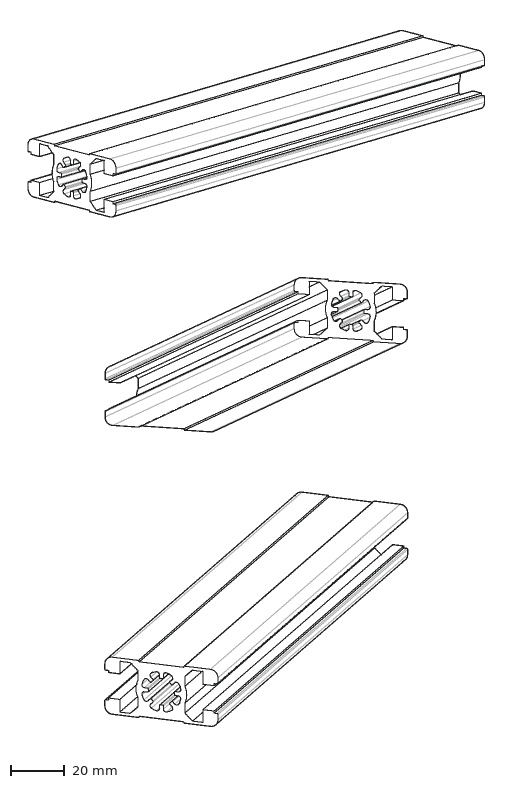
import cadquery as cq
import math

WIDTH = 45.0
LENGTH = 200.0
HEIGHT = 22.5
CORNER_RADIUS = 3.0

RECESS_WIDTH = 17.5
RECESS_DEPTH = 0.5
RECESS_SLOPE_RUN = 0.35

SLOT_OPENING = 10.0
LIP_THICKNESS = 6.0
LIP_STEP_WIDTH = 1.5
LIP_STEP_HEIGHT = 0.8
LIP_EDGE_RADIUS = 0.4
FLANGE_THICKNESS = 1.25
WEB_WIDTH = 18.7
SLOPE_RUN = 3.05
SLOPE_RISE = 2.8
BULGE_HEIGHT = 0.75
BULGE_WIDTH = 6.6

BORE_RADIUS = 7.95
TOOTH_TIP_RADIUS = 5.2
TOOTH_WIDTH = 1.6
ROOT_FILLET_RADIUS = 1.0
TIP_FILLET_RADIUS = 0.3
TOOTH_COUNT = 8


def front_plane():
    """Sketch plane through mid-length: local x is X and local y is Z."""
    return cq.Workplane("XZ")


def extrude_full_length(sketch):
    return sketch.extrude(LENGTH / 2, both=True)


def make_body():
    block = extrude_full_length(front_plane().rect(WIDTH, HEIGHT))
    return block.edges("|Y").fillet(CORNER_RADIUS)


def make_recess():
    """Recess with sloped sides in the top face."""
    floor_half = RECESS_WIDTH / 2
    mouth_half = floor_half + RECESS_SLOPE_RUN
    top = HEIGHT / 2
    floor = top - RECESS_DEPTH
    outline = [(-mouth_half, top), (-floor_half, floor), (floor_half, floor), (mouth_half, top)]
    return extrude_full_length(front_plane().polyline(outline).close())


def make_slot():
    """T-slot in the +X side, with stepped lips and a back wall that bulges outwards."""
    side = WIDTH / 2
    lip_back = side - LIP_THICKNESS
    web = WEB_WIDTH / 2
    step = side - LIP_STEP_WIDTH
    opening = SLOT_OPENING / 2
    mouth = opening + LIP_STEP_HEIGHT
    ceiling = HEIGHT / 2 - FLANGE_THICKNESS
    slope_end = ceiling - SLOPE_RISE
    bulge = BULGE_WIDTH / 2
    outline = (
        front_plane()
        .moveTo(side, mouth + LIP_EDGE_RADIUS)
        .radiusArc((side - LIP_EDGE_RADIUS, mouth), LIP_EDGE_RADIUS)
        .lineTo(step, mouth)
        .lineTo(step, opening)
        .lineTo(lip_back, opening)
        .lineTo(lip_back, ceiling)
        .lineTo(web + SLOPE_RUN, ceiling)
        .lineTo(web, slope_end)
        .lineTo(web, bulge)
        .threePointArc((web + BULGE_HEIGHT, 0), (web, -bulge))
        .lineTo(web, -slope_end)
        .lineTo(web + SLOPE_RUN, -ceiling)
        .lineTo(lip_back, -ceiling)
        .lineTo(lip_back, -opening)
        .lineTo(step, -opening)
        .lineTo(step, -mouth)
        .lineTo(side - LIP_EDGE_RADIUS, -mouth)
        .radiusArc((side, -mouth - LIP_EDGE_RADIUS), LIP_EDGE_RADIUS)
        .close()
    )
    return extrude_full_length(outline)


def distance_from_axis(edge):
    """Distance of a lengthwise edge from the profile's centre line."""
    centre = edge.Center()
    return math.hypot(centre.x, centre.z)


def make_bore():
    """Round bore with evenly spaced teeth pointing inwards, rounded at roots and tips."""
    bore = extrude_full_length(front_plane().circle(BORE_RADIUS))
    tooth_length = BORE_RADIUS - TOOTH_TIP_RADIUS
    tooth_centre = TOOTH_TIP_RADIUS + tooth_length / 2
    tooth = extrude_full_length(
        front_plane().center(tooth_centre, 0).rect(tooth_length, TOOTH_WIDTH)
    )
    for index in range(TOOTH_COUNT):
        angle = index * 360 / TOOTH_COUNT
        bore = bore.cut(tooth.rotate((0, 0, 0), (0, 1, 0), angle))
    middle_radius = (BORE_RADIUS + TOOTH_TIP_RADIUS) / 2
    bore = (
        bore.edges("|Y")
        .filter(lambda edge: distance_from_axis(edge) > middle_radius)
        .fillet(ROOT_FILLET_RADIUS)
    )
    return (
        bore.edges("|Y")
        .filter(lambda edge: distance_from_axis(edge) < middle_radius)
        .fillet(TIP_FILLET_RADIUS)
    )


recess = make_recess()
slot = make_slot()

result = (
    make_body()
    .cut(recess)
    .cut(recess.mirror("XY"))
    .cut(slot)
    .cut(slot.mirror("YZ"))
    .cut(make_bore())
)